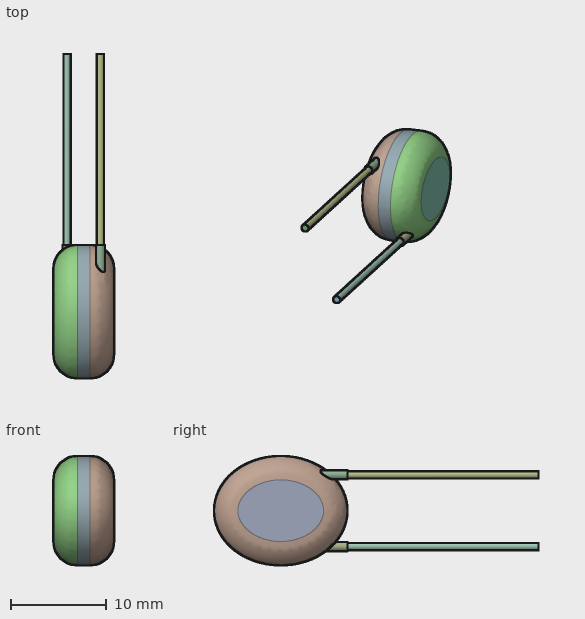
import cadquery as cq

total_length = 34.0
body_length = 14.0
body_height = 11.5
body_thickness = 6.4
edge_radius = 2.5

lead_diameter = 0.78
sleeve_diameter = 1.0
sleeve_end_radius = 0.085
lead_spacing_x = 3.5
lead_spacing_z = 7.5

body_back = body_length / 2
lead_end = total_length - body_back


def rod_along_y(x, z, diameter, end_y):
    """Round rod from the middle of the body to end_y."""
    return (
        cq.Workplane("XZ", origin=(x, 0, z))
        .circle(diameter / 2)
        .extrude(-end_y)
    )


body = (
    cq.Workplane("YZ")
    .ellipse(body_length / 2, body_height / 2)
    .extrude(body_thickness)
    .translate((-body_thickness / 2, 0, 0))
    .faces("<X or >X")
    .edges()
    .fillet(edge_radius)
)

result = body
for side in (1, -1):
    lead_x = side * lead_spacing_x / 2
    lead_z = side * lead_spacing_z / 2
    sleeve = rod_along_y(lead_x, lead_z, sleeve_diameter, body_back)
    sleeve = sleeve.faces(">Y").edges().fillet(sleeve_end_radius)
    lead = rod_along_y(lead_x, lead_z, lead_diameter, lead_end)
    result = result.union(sleeve).union(lead)